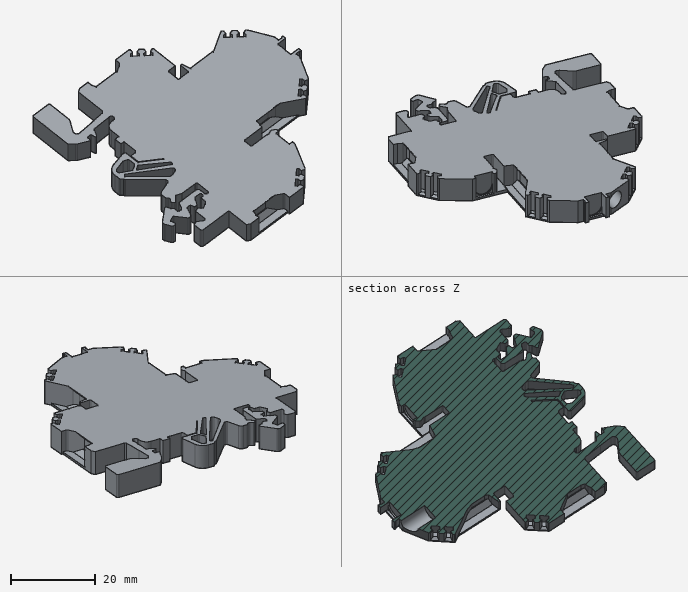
import cadquery as cq
import math

THICKNESS = 6.09
PLATE = 0.55

TOWER_TOP = 45.0
TOWER_HALF_TOP = 4.32
TOWER_SHOULDER = (10.3, 41.9)
TOWER_TIP_TOP = (14.35, 37.3)
TOWER_TIP = (14.35, 37.05)
TOWER_HALF = 13.52
SLANT_SLOPE = 1.715

BASE_LEFT = -25.4
BASE_RIGHT = 33.54
BASE_SHOULDER_Y = 17.65
BASE_LIP_Y = 13.12
SIDE_LEFT = -25.0
SIDE_RIGHT = 32.96
LEFT_TOP_Y = 22.0
LEFT_TOP_X = -21.65
RIGHT_TOP_Y = 25.56
RIGHT_TOP_X = 22.62
RIGHT_SHOULDER = (29.63, 22.05)
BASE_CHAMFER = (0.55, 0.95)
BLEND_Y = 1.0

NOTCH_X = (-14.26, -10.74)
NOTCH_Y = (19.63, 23.0)
GAP_X = (TOWER_HALF, 15.99)
GAP_BOTTOM = 17.62
GAP_FLOOR = 0.8

PRONG_X = 2.2
PRONG_WIDTH = 0.75
PRONG_TOP = 46.6
PRONG_HOOK = 0.22
PRONG_HOOK_HEIGHT = 0.45
RECESS_WIDTH = 4.6
RECESS_HEIGHT = 1.0
RECESS_FLAT = 0.58
RIGHT_RECESS_X = 19.42

SLOT_FLOOR = 0.8
SLOT_LIP_FLOOR = 0.4
SLOT_PITCH = 3.17
SLOT_MOUTH_HALF = 1.0
SLOT_NECK = (0.82, 0.5)
SLOT_WIDE = (1.42, 1.1)
SLOT_END = (2.0, 1.0)

FUNNEL_Z = (1.9, 4.95)
FUNNEL_DEPTH = 1.2
FUNNEL_STEP = 0.9
FUNNEL_TAPER = 1.0
FLOOR_LEAD = 0.3
TOWER_FUNNEL_X = -11.27
TOWER_FUNNEL_BEND = -10.65
TOWER_FUNNEL_Y = (23.5, 25.1, 28.85)
BASE_FUNNEL_INSET = 2.3
BASE_FUNNEL_Y = (3.7, 5.2, 9.2)
CUT_MARGIN = 1.0

TEST_HOLE_D = 4.2
TEST_HOLE_X = -5.74
TEST_HOLE_BOTTOM = 38.0

SLIT_WIDTH = 0.2
SLIT_Y = (-5.0, 0.15)
SLIT_BEND_X = 0.65
SLIT_TIP_X = 4.25


def rounded_wire(corners):
    """Closed wire through corners (x, y) or (x, y, radius); a radius rounds that corner."""
    count = len(corners)
    ends = []
    for i, corner in enumerate(corners):
        here = cq.Vector(corner[0], corner[1])
        if len(corner) == 2:
            ends.append((here, None, here))
            continue
        before = cq.Vector(*corners[i - 1][:2]) - here
        after = cq.Vector(*corners[(i + 1) % count][:2]) - here
        half_angle = before.getAngle(after) / 2
        setback = corner[2] / math.tan(half_angle)
        bisector = (before.normalized() + after.normalized()).normalized()
        middle = here + bisector * (corner[2] / math.sin(half_angle) - corner[2])
        ends.append((here + before.normalized() * setback, middle, here + after.normalized() * setback))
    path = cq.Workplane("XY").moveTo(*ends[0][2].toTuple()[:2])
    for start, middle, end in ends[1:] + ends[:1]:
        path = path.lineTo(start.x, start.y)
        if middle is not None:
            path = path.threePointArc((middle.x, middle.y), (end.x, end.y))
    return path.close()


def slab(corners, bottom=0.0):
    """Prism over a rounded outline, from the given height to the open face."""
    return rounded_wire(corners).extrude(THICKNESS - bottom).translate((0, 0, bottom))


def box(x_range, y_range, bottom=0.0):
    (x0, x1), (y0, y1) = x_range, y_range
    return slab([(x0, y0), (x1, y0), (x1, y1), (x0, y1)], bottom)


def mirrored_x(points):
    return [(-x, *rest) for x, *rest in points]


def slant_y(distance):
    """Height of the slant below a tower tip, at a distance from the tower axis."""
    return TOWER_TIP[1] - SLANT_SLOPE * (TOWER_TIP[0] - distance)


def tower():
    right = [
        (TOWER_HALF, BLEND_Y),
        (TOWER_HALF, slant_y(TOWER_HALF)),
        TOWER_TIP,
        TOWER_TIP_TOP,
        TOWER_SHOULDER,
        (TOWER_HALF_TOP, TOWER_TOP),
    ]
    return slab(right + mirrored_x(right)[::-1])


def base():
    chamfer_x, chamfer_y = BASE_CHAMFER
    return slab([
        (SIDE_LEFT + chamfer_x, 0),
        (SIDE_LEFT, chamfer_y),
        (SIDE_LEFT, BASE_LIP_Y),
        (BASE_LEFT, BASE_LIP_Y),
        (BASE_LEFT, BASE_SHOULDER_Y),
        (LEFT_TOP_X, LEFT_TOP_Y),
        (0, LEFT_TOP_Y),
        (0, RIGHT_TOP_Y),
        (RIGHT_TOP_X, RIGHT_TOP_Y),
        RIGHT_SHOULDER,
        (BASE_RIGHT, BASE_SHOULDER_Y),
        (BASE_RIGHT, BASE_LIP_Y),
        (SIDE_RIGHT, BASE_LIP_Y),
        (SIDE_RIGHT, chamfer_y),
        (SIDE_RIGHT - chamfer_x, 0),
    ])


def left_foot():
    """Flexible arm with the release tab and the rail hook."""
    return slab([
        (-13.86, BLEND_Y),
        (-16.2, BLEND_Y),
        (-16.2, 0),
        (-15.87, -0.3),
        (-15.43, -5.15),
        (-15.1, -9.9, 0.9),
        (-16.6, -9.35),
        (-19.7, -7.4, 1.5),
        (-26.65, -7.4, 0.4),
        (-26.65, -12.93, 0.4),
        (-14.6, -12.93, 0.3),
        (-13.2, -11.45, 1.5),
        (-11.67, -8.33),
        (-12.96, -8.09),
        (-12.96, -7.0),
        (-11.64, -6.75, 0.15),
        (-11.64, -6.35, 0.15),
        (-13.67, -5.3),
    ])


def saddle():
    """Middle support: stop rib, spring loop and the fixed jaw beside the lever."""
    return slab([
        (-12.56, BLEND_Y),
        (-12.56, 0),
        (-12.2, -2.69, 2.0),
        (-7.96, -2.69),
        (-7.96, -3.92),
        (-5.96, -3.92),
        (-5.96, -2.93),
        (-1.7, -2.93, 0.5),
        (-1.7, -5.0),
        (-3.65, -5.0, 0.6),
        (-2.2, -11.64, 2.6),
        (1.5, -11.64, 0.5),
        (2.1, -11.0),
        (2.6, -10.85),
        (9.35, -3.92, 0.4),
        (10.1, -3.92, 0.3),
        (11.45, -7.93, 1.0),
        (13.27, -7.93, 0.2),
        (13.75, -7.35, 0.3),
        (14.2, -7.35, 0.3),
        (15.19, -8.0, 0.3),
        (15.95, -7.25, 0.3),
        (14.35, -5.68, 0.3),
        (14.97, -4.23),
        (15.03, BLEND_Y),
    ])


def lever_and_right_foot():
    """Hanging zigzag lever and the outer foot it is joined to."""
    return slab([
        (19.0, BLEND_Y),
        (19.0, -0.4, 0.3),
        (16.5, -0.4, 0.8),
        (16.5, -6.7),
        (18.4, -7.5, 0.5),
        (18.4, -8.7, 0.4),
        (16.95, -8.7, 0.2),
        (16.5, -9.26),
        (15.34, -9.75, 0.2),
        (15.25, -10.15, 0.3),
        (18.1, -13.75, 0.5),
        (18.85, -13.75, 0.5),
        (20.7, -12.8, 0.4),
        (20.74, -11.65, 0.25),
        (19.1, -12.0, 0.2),
        (18.52, -10.56, 0.2),
        (21.5, -8.3, 0.3),
        (21.5, -7.5, 0.3),
        (18.89, -6.33),
        (18.89, -5.25),
        (20.03, -4.97, 0.15),
        (20.03, -4.15, 0.15),
        (17.96, -2.9),
        (17.96, -1.0, 0.25),
        (18.95, -1.0, 0.25),
        (19.05, -1.95, 0.25),
        (20.74, -1.95, 0.3),
        (21.75, -3.75, 0.15),
        (20.74, -4.6, 0.15),
        (21.08, -5.71, 0.2),
        (24.55, -5.71, 0.3),
        (24.5, -6.39, 0.3),
        (23.45, -8.0, 0.4),
        (23.8, -8.86, 0.4),
        (26.48, -8.86, 0.6),
        (26.48, 0),
        (27.0, 0.5),
        (27.0, BLEND_Y),
    ])


def clearance_cuts():
    """Gaps that reach up into the base so the arm and the lever can flex."""
    arm_gap = slab([(-13.86, -0.2), (-12.5, -0.2), (-12.5, 0.62, 0.6), (-13.86, 0.62, 0.6)])
    lever_gap = slab([
        (15.03, -0.4),
        (17.5, -0.4),
        (18.8, -0.37),
        (19.05, 0),
        (19.05, 0.62, 0.2),
        (15.03, 0.62, 0.2),
    ])
    return arm_gap.union(lever_gap)


def spring_cuts():
    """Eye of the spring loop, the two long windows and the thin slit."""
    eye = slab([
        (-1.3, -5.93, 0.5),
        (0.8, -5.93, 0.4),
        (1.8, -7.62, 0.3),
        (0, -10.6, 0.5),
        (-1.0, -10.4, 0.5),
        (-1.85, -7.2, 0.3),
    ])
    upper_window = slab([
        (6.2, 0.62, 0.3),
        (7.15, 0.62, 0.3),
        (2.3, -7.0, 0.2),
        (1.5, -5.62, 0.15),
    ])
    lower_window = slab([
        (7.9, -0.15, 0.3),
        (8.65, -0.15, 0.4),
        (9.26, -1.6, 0.5),
        (9.26, -2.53, 0.2),
        (1.8, -10.4, 0.2),
        (1.3, -9.8, 0.2),
    ])
    slit_bottom, slit_top = SLIT_Y
    slit_angle = math.atan2(slit_top - slit_bottom, SLIT_TIP_X - SLIT_BEND_X)
    slit_shift = SLIT_WIDTH / math.sin(slit_angle)
    slit = slab([
        (-1.8, slit_bottom),
        (SLIT_BEND_X + slit_shift, slit_bottom),
        (SLIT_TIP_X + slit_shift, slit_top),
        (SLIT_TIP_X, slit_top),
        (SLIT_BEND_X + SLIT_WIDTH / math.tan(slit_angle), slit_bottom + SLIT_WIDTH),
        (-1.8, slit_bottom + SLIT_WIDTH),
    ])
    return eye.union(upper_window).union(lower_window).union(slit)


def notch_cut():
    (x0, x1), (y0, y1) = NOTCH_X, NOTCH_Y
    return slab([(x0, y0, 0.3), (x1, y0, 0.15), (x1, y1, 0.25), (x0, y1)])


def gap_cut():
    """Gap between the tower and the right part of the base, closed by a thicker floor."""
    x0, x1 = GAP_X
    return slab([
        (x0, GAP_BOTTOM, 0.25),
        (x1, GAP_BOTTOM, 0.25),
        (x1, 22.9),
        (16.15, 23.2, 0.1),
        (15.74, 24.1, 0.3),
        (15.74, 24.6, 0.3),
        (16.5, RIGHT_TOP_Y),
        (x0, RIGHT_TOP_Y),
    ], GAP_FLOOR)


def recess_cut(center_x, top):
    """Recess with a flat floor at the edge and a round-bottomed channel behind it."""
    half = RECESS_WIDTH / 2
    x_range = (center_x - half, center_x + half)
    channel_y = (top - RECESS_HEIGHT, top)
    axis_z = PLATE + half
    channel_bottom = (
        cq.Workplane("XZ", origin=(center_x, top, axis_z))
        .circle(half)
        .extrude(RECESS_HEIGHT)
    )
    flat_part = box(x_range, (top - RECESS_FLAT, top), PLATE)
    return box(x_range, channel_y, axis_z).union(channel_bottom).union(flat_part)


def prong():
    """Right-hand prong; it stands above the closing wall and hooks outward."""
    outer = PRONG_X + PRONG_WIDTH
    hook_bottom = PRONG_TOP - PRONG_HOOK_HEIGHT
    return slab([
        (PRONG_X, TOWER_TOP - RECESS_HEIGHT),
        (outer, TOWER_TOP - RECESS_HEIGHT),
        (outer, hook_bottom),
        (outer + PRONG_HOOK, hook_bottom),
        (outer + PRONG_HOOK, PRONG_TOP),
        (PRONG_X, PRONG_TOP),
    ], PLATE)


def marker_slots(start, end):
    """Two undercut slots in the sloped edge from start to end, with the body on its left."""
    start = cq.Vector(*start)
    edge = cq.Vector(*end) - start
    along = edge.normalized()
    inward = cq.Vector(-along.y, along.x)
    neck_depth, neck_half = SLOT_NECK
    mouth = [(0, SLOT_MOUTH_HALF), (neck_depth, neck_half), (neck_depth, -neck_half), (0, -SLOT_MOUTH_HALF)]
    one_side = [(0, SLOT_MOUTH_HALF), SLOT_NECK, SLOT_WIDE, SLOT_END]
    outline = one_side + [(depth, -half) for depth, half in reversed(one_side)]
    above_ramp = [(0, SLOT_LIP_FLOOR), (neck_depth, SLOT_FLOOR), (neck_depth, THICKNESS), (0, THICKNESS)]
    cuts = cq.Workplane("XY")
    for offset in (-SLOT_PITCH / 2, SLOT_PITCH / 2):
        center = start + edge * 0.5 + along * offset

        def placed(points):
            moved = [center + inward * depth + along * half for depth, half in points]
            return [(p.x, p.y) for p in moved]

        side_plane = cq.Plane(origin=center, xDir=inward, normal=along)
        ramp = cq.Workplane(side_plane).polyline(above_ramp).close().extrude(SLOT_MOUTH_HALF, both=True)
        cuts = cuts.union(slab(placed(outline), SLOT_FLOOR))
        cuts = cuts.union(slab(placed(mouth)).intersect(ramp))
    return cuts


def funnel(plan, mouth_x):
    """Left-hand wire funnel: a plan outline limited by a sloping floor and roof."""
    outside_x = min(point[0] for point in plan) - CUT_MARGIN
    deep_x = mouth_x + FUNNEL_DEPTH
    z_low, z_high = FUNNEL_Z
    taper_end = mouth_x + FUNNEL_TAPER
    side_profile = [
        (outside_x, PLATE),
        (mouth_x - FLOOR_LEAD, PLATE),
        (taper_end, z_low),
        (deep_x + CUT_MARGIN, z_low),
        (deep_x + CUT_MARGIN, z_high),
        (taper_end, z_high),
        (mouth_x, THICKNESS),
        (outside_x, THICKNESS),
    ]
    y_low = min(point[1] for point in plan) - CUT_MARGIN
    y_high = max(point[1] for point in plan) + CUT_MARGIN
    limit = cq.Workplane("XZ", origin=(0, y_high, 0)).polyline(side_profile).close().extrude(y_high - y_low)
    return slab(plan, PLATE).intersect(limit)


def tower_funnel():
    mouth_x = TOWER_FUNNEL_X
    deep_x = mouth_x + FUNNEL_DEPTH
    lip_y, deep_low, deep_high = TOWER_FUNNEL_Y
    return funnel([
        (-TOWER_HALF, slant_y(TOWER_HALF)),
        (TOWER_FUNNEL_BEND, slant_y(-TOWER_FUNNEL_BEND)),
        (deep_x, deep_high),
        (deep_x, deep_low),
        (mouth_x + FUNNEL_STEP, lip_y + 0.75),
        (mouth_x, lip_y + 0.5),
        (-TOWER_HALF, lip_y),
    ], mouth_x)


def base_funnel(side_x):
    mouth_x = side_x + BASE_FUNNEL_INSET
    deep_x = mouth_x + FUNNEL_DEPTH
    lip_y, deep_low, deep_high = BASE_FUNNEL_Y
    return funnel([
        (side_x - CUT_MARGIN, BASE_LIP_Y),
        (side_x + BASE_FUNNEL_INSET / 2, BASE_LIP_Y, 0.5),
        (deep_x, deep_high),
        (deep_x, deep_low),
        (mouth_x + FUNNEL_STEP, lip_y + 0.6),
        (mouth_x, lip_y + 0.4),
        (side_x + BASE_FUNNEL_INSET / 2, lip_y),
        (side_x - CUT_MARGIN, lip_y),
    ], mouth_x)


def test_hole():
    center_z = (PLATE + THICKNESS) / 2
    return (
        cq.Workplane("XZ", origin=(TEST_HOLE_X, TEST_HOLE_BOTTOM, center_z))
        .circle(TEST_HOLE_D / 2)
        .extrude(TEST_HOLE_BOTTOM - PRONG_TOP)
    )


body = base().union(tower())
for foot in (left_foot(), saddle(), lever_and_right_foot()):
    body = body.union(foot)

cuts = [
    clearance_cuts(),
    spring_cuts(),
    notch_cut(),
    gap_cut(),
    recess_cut(0, TOWER_TOP),
    recess_cut(RIGHT_RECESS_X, RIGHT_TOP_Y),
    tower_funnel(),
    tower_funnel().mirror("YZ"),
    base_funnel(SIDE_LEFT),
    base_funnel(-SIDE_RIGHT).mirror("YZ"),
    test_hole(),
    marker_slots(*mirrored_x([TOWER_SHOULDER, TOWER_TIP_TOP])),
    marker_slots(TOWER_TIP_TOP, TOWER_SHOULDER),
    marker_slots((LEFT_TOP_X, LEFT_TOP_Y), (BASE_LEFT, BASE_SHOULDER_Y)),
    marker_slots((BASE_RIGHT, BASE_SHOULDER_Y), RIGHT_SHOULDER),
]
for cut in cuts:
    body = body.cut(cut)

result = body.union(prong()).union(prong().mirror("YZ"))